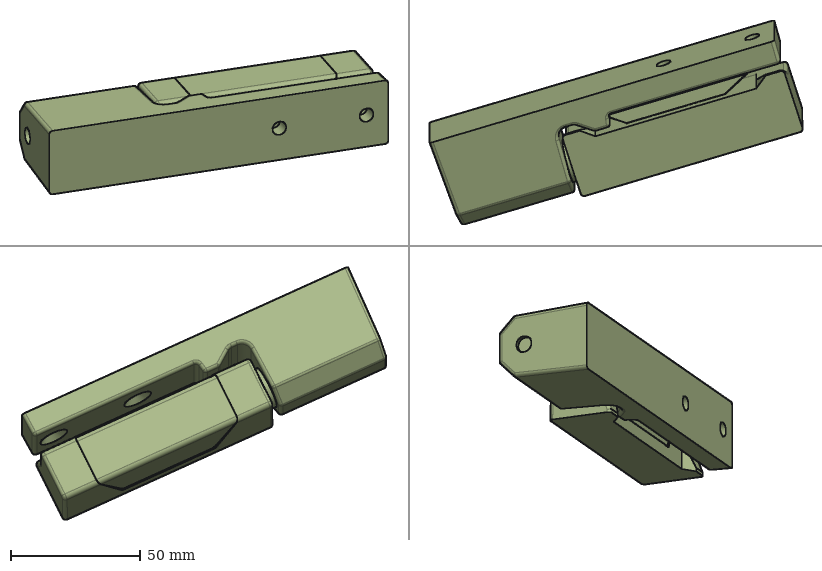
import cadquery as cq
import math


FRAME_WIDTH = 38.0
FRAME_LENGTH = 140.0
FRAME_BOTTOM = 1.5
FRAME_TOP = 28.5
FRAME_MIDDLE = (FRAME_BOTTOM + FRAME_TOP) / 2
TAPER = math.tan(math.radians(2.0))
EDGE_RADIUS = 1.4
BEVEL_WIDTH = 6.5
BLOCK_FLAT = 11.9
BLOCK_END = 47.5
ARM_FACE = 28.1
INNER_CORNER_RADIUS = 4.0

STOP_FACE = 23.1
STOP_RAMP_START = 55.7
STOP_RAMP_END = 62.5
STOP_END = 68.7
STOP_END_SLOPE = math.tan(math.radians(10.0))
RAMP_FOOT_RADIUS = 2.8
STOP_FOOT_RADIUS = 1.5
CORNER_REACH = 0.7

LEAF_LENGTH = 90.0
LEAF_START = FRAME_LENGTH - LEAF_LENGTH
LEAF_MIDDLE = LEAF_START + LEAF_LENGTH / 2
LEAF_HEIGHT = 26.0
LEAF_FOOT_RIGHT = 25.9
LEAF_FOOT_HEIGHT = 1.4
LEAF_TOP_LEFT = 0.4
LEAF_TOP_RIGHT = 21.8
LEAF_WALL_RIGHT = 22.1
FLARE_ANGLE = 21.0
FLARE_HEIGHT = (LEAF_FOOT_RIGHT - LEAF_WALL_RIGHT) / math.tan(math.radians(FLARE_ANGLE))
LEAF_EDGE_RADIUS = 2.0
LEAF_END_RADIUS = 1.4

RELIEF_FACE = 22.0
RELIEF_HALF_LENGTH = 32.6
RELIEF_HALF_MOUTH = 37.7

SADDLE_FLOOR = 5.2
SADDLE_HALF_FLOOR = 20.0
SADDLE_HALF_MOUTH = 30.1
COVER_GAP = 0.4
COVER_INSET = 0.3

PIN_X = 10.9
PIN_RADIUS = 3.2
PIN_RECESS = 2.0
PIN_START = PIN_RECESS + (FRAME_WIDTH - PIN_X) * TAPER
PIN_DEPTH_IN_LEAF = 8.4
PIN_END = LEAF_START + PIN_DEPTH_IN_LEAF
WASHER_RADIUS = 8.4

HOLE_RADIUS = 2.8
SINK_RADIUS = 5.7
HOLE_SPACING = 36.0


def pin_cylinder(radius, start, end):
    """Cylinder on the pin axis between two Y positions."""
    axis_plane = cq.Workplane("XZ", origin=(PIN_X, start, FRAME_MIDDLE))
    return axis_plane.circle(radius).extrude(start - end)


def frame_plan():
    """Frame outline seen along Z, extruded to the frame's top."""
    end_rise = FRAME_WIDTH * TAPER
    block_corner = BLOCK_END + ARM_FACE * TAPER
    stop_corner = STOP_END + (ARM_FACE - STOP_FACE) * STOP_END_SLOPE
    plan = (
        cq.Workplane("XY")
        .moveTo(FRAME_WIDTH, 0)
        .lineTo(FRAME_WIDTH, FRAME_LENGTH)
        .lineTo(ARM_FACE, FRAME_LENGTH - (FRAME_WIDTH - ARM_FACE) * TAPER)
        .lineTo(ARM_FACE, stop_corner)
        .lineTo(STOP_FACE, STOP_END)
        .lineTo(STOP_FACE, STOP_RAMP_END)
        .lineTo(ARM_FACE, STOP_RAMP_START)
        .lineTo(ARM_FACE, block_corner)
        .lineTo(0, BLOCK_END)
        .lineTo(0, end_rise)
        .close()
        .extrude(FRAME_TOP)
    )
    for corner_y, radius in (
        (block_corner, INNER_CORNER_RADIUS),
        (STOP_RAMP_START, RAMP_FOOT_RADIUS),
        (stop_corner, STOP_FOOT_RADIUS),
    ):
        corner_box = cq.selectors.BoxSelector(
            (ARM_FACE - CORNER_REACH, corner_y - CORNER_REACH, 0),
            (ARM_FACE + CORNER_REACH, corner_y + CORNER_REACH, FRAME_TOP),
        )
        plan = plan.edges("|Z").edges(corner_box).fillet(radius)
    return plan


def inner_corner_edges():
    """Selector for the upright edges of the arm's inner corners, which get no edge rounding."""
    corner_box = cq.selectors.BoxSelector(
        (STOP_FACE + CORNER_REACH, BLOCK_END, 0),
        (ARM_FACE + CORNER_REACH, STOP_END + INNER_CORNER_RADIUS, FRAME_TOP),
    )
    return cq.selectors.ParallelDirSelector(cq.Vector(0, 0, 1)) & corner_box


def frame_section():
    """Frame outline seen along Y: tapered above and below, with bevelled outer corners."""
    bevel_rise = (FRAME_WIDTH - BEVEL_WIDTH) * TAPER
    flat_bottom = FRAME_MIDDLE - BLOCK_FLAT / 2
    flat_top = FRAME_MIDDLE + BLOCK_FLAT / 2
    return (
        cq.Workplane("XZ")
        .polyline(
            [
                (FRAME_WIDTH, FRAME_BOTTOM),
                (FRAME_WIDTH, FRAME_TOP),
                (BEVEL_WIDTH, FRAME_TOP - bevel_rise),
                (0, flat_top),
                (0, flat_bottom),
                (BEVEL_WIDTH, FRAME_BOTTOM + bevel_rise),
            ]
        )
        .close()
        .extrude(-FRAME_LENGTH)
    )


def mounting_hole(y):
    """Countersunk hole through the arm, opening toward the leaf."""
    face = cq.Workplane("YZ", origin=(ARM_FACE, y, FRAME_MIDDLE))
    sink_depth = SINK_RADIUS - HOLE_RADIUS
    sink = face.circle(SINK_RADIUS).workplane(offset=sink_depth).circle(HOLE_RADIUS).loft()
    return face.circle(HOLE_RADIUS).extrude(FRAME_WIDTH - ARM_FACE).union(sink)


def make_frame():
    frame = frame_plan().intersect(frame_section())
    frame = frame.edges(cq.StringSyntaxSelector("not >X") - inner_corner_edges()).fillet(EDGE_RADIUS)
    frame = frame.cut(pin_cylinder(PIN_RADIUS, 0, LEAF_START))
    frame = frame.cut(pin_cylinder(WASHER_RADIUS, BLOCK_END, LEAF_START))
    for y in (LEAF_MIDDLE, LEAF_MIDDLE + HOLE_SPACING):
        frame = frame.cut(mounting_hole(y))
    return frame


def rounded_bar(section):
    """Bar with the given section along the leaf's length and rounded long top edges."""
    plane = cq.Workplane("XZ", origin=(0, LEAF_START, 0))
    bar = plane.polyline(section).close().extrude(-LEAF_LENGTH)
    return bar.faces(">Z").edges("|Y").fillet(LEAF_EDGE_RADIUS)


def leaf_relief():
    """Cutter with sloping ends that clears the middle of the leaf's inner side."""
    relief = [
        (RELIEF_FACE, LEAF_MIDDLE - RELIEF_HALF_LENGTH),
        (LEAF_FOOT_RIGHT, LEAF_MIDDLE - RELIEF_HALF_MOUTH),
        (LEAF_FOOT_RIGHT, LEAF_MIDDLE + RELIEF_HALF_MOUTH),
        (RELIEF_FACE, LEAF_MIDDLE + RELIEF_HALF_LENGTH),
    ]
    return cq.Workplane("XY").polyline(relief).close().extrude(LEAF_HEIGHT)


def saddle(gap):
    """Trapezium across the leaf, with its floor raised and shortened by the gap."""
    half_floor = SADDLE_HALF_FLOOR - gap
    trapezium = [
        (LEAF_MIDDLE - half_floor, SADDLE_FLOOR + gap),
        (LEAF_MIDDLE + half_floor, SADDLE_FLOOR + gap),
        (LEAF_MIDDLE + SADDLE_HALF_MOUTH, LEAF_HEIGHT),
        (LEAF_MIDDLE - SADDLE_HALF_MOUTH, LEAF_HEIGHT),
    ]
    return cq.Workplane("YZ").polyline(trapezium).close().extrude(LEAF_FOOT_RIGHT)


def make_leaf():
    section = [
        (0, 0),
        (LEAF_FOOT_RIGHT, 0),
        (LEAF_FOOT_RIGHT, LEAF_FOOT_HEIGHT),
        (LEAF_WALL_RIGHT, LEAF_FOOT_HEIGHT + FLARE_HEIGHT),
        (LEAF_TOP_RIGHT, LEAF_HEIGHT),
        (LEAF_TOP_LEFT, LEAF_HEIGHT),
    ]
    leaf = rounded_bar(section)
    leaf = leaf.faces("<Y or >Y").edges("not <Z").fillet(LEAF_END_RADIUS)
    leaf = leaf.cut(leaf_relief()).cut(saddle(0))
    return leaf.cut(pin_cylinder(PIN_RADIUS, LEAF_START, PIN_END))


def make_cover():
    cover_right = LEAF_TOP_RIGHT - COVER_INSET
    section = [
        (LEAF_TOP_LEFT, 0),
        (cover_right, 0),
        (cover_right, LEAF_HEIGHT),
        (LEAF_TOP_LEFT, LEAF_HEIGHT),
    ]
    return rounded_bar(section).intersect(saddle(COVER_GAP))


def make_washer():
    ring = pin_cylinder(WASHER_RADIUS, BLOCK_END, LEAF_START)
    return ring.cut(pin_cylinder(PIN_RADIUS, BLOCK_END, LEAF_START))


def make_pin():
    return pin_cylinder(PIN_RADIUS, PIN_START, PIN_END)


frame = make_frame()
leaf = make_leaf()
cover = make_cover()
washer = make_washer()
pin = make_pin()

result = cq.Compound.makeCompound([frame.val(), leaf.val(), cover.val(), washer.val(), pin.val()])